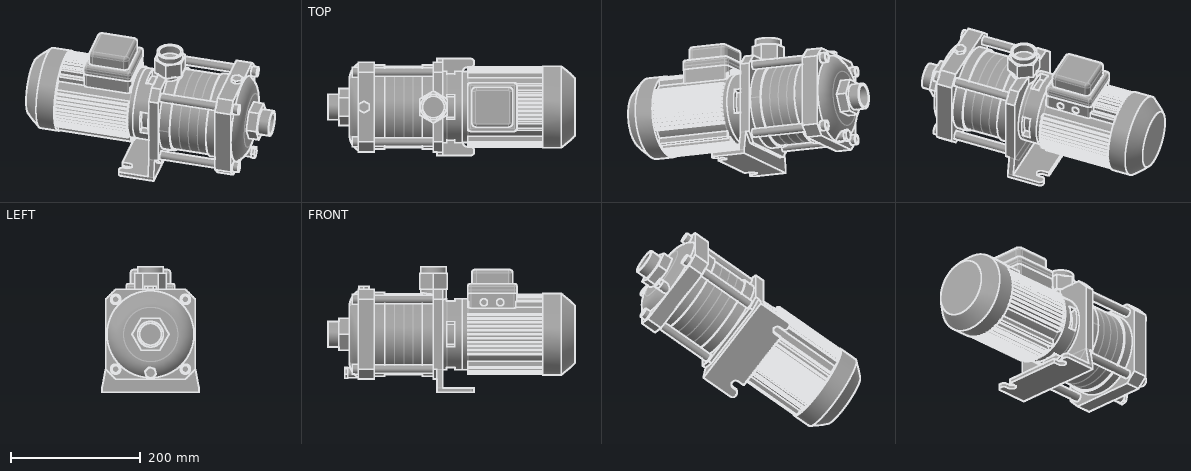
import cadquery as cq
import math


inlet_hex_start = 16.8
dome_face_x = 33.0
front_plate_x = 46.5
plug_head_x = 26.0
bolt_head_x = 37.5
front_plate_end = 71.7
stages_start = 87.8
stage_length = 14.5
stage_count = 4
stages_end = stages_start + stage_count * stage_length
rear_plate_x = 162.5
rear_plate_end = 177.5
window_start = 183.0
window_end = 196.0
motor_start = 207.5
fins_start = 215.5
cover_start = 331.5
cover_cone_start = 360.2
overall_length = 381.5

plate_width = 139.0
plate_chamfer = 15.5
dome_diameter = 134.5
dome_face_diameter = 84.0
dome_arc_radius = 30.0
end_ring_diameter = 130.0
stage_diameter = 125.0
lantern_diameter = 110.0
window_floor_diameter = 90.0
window_angle = 40.5
window_count = 4
plate_top = plate_width / 2

thread_diameter = 39.5
bore_diameter = 33.5
inlet_bore_depth = 18.7
outlet_bore_depth = 14.5
inlet_hex_flats = 49.5
outlet_hex_flats = 42.7
outlet_x = 163.0
outlet_hex_top = 94.0
outlet_top = 104.0

plug_flats = 15.5
plug_height = 5.0
vent_x = 55.7
drain_z = -59.5
drain_boss_diameter = 15.5
drain_turn = -15.0

bolt_offset = 53.8
bolt_diameter = 13.5
bolt_head_diameter = 15.5
bolt_socket_diameter = 11.0
bolt_socket_depth = 5.7

foot_x = 168.3
foot_end = 226.0
foot_width = 150.0
foot_bottom = -89.5
foot_thickness = 7.0
foot_top = foot_bottom + foot_thickness
foot_taper_top = -(plate_width / 2 - plate_chamfer)
foot_corner_radius = 5.7
slot_width = 13.5
slot_centre_x = 215.2
slot_centre_y = 54.5

fin_diameter = 123.5
fin_pitch = 6.0
fin_thickness = 2.0
upright_fins_per_side = 3
level_fins_per_side = 5
wide_fin_thickness = 3.5
wide_fin_offsets = (24.0, 34.5)
cover_diameter = 126.0
cover_end_diameter = 88.5
cover_bulge = 0.8

box_x = 215.5
box_length = 76.5
box_width = 75.5
box_corner = 4.5
box_base_inset = 0.5
box_base_top = 63.0
box_seam = 68.5
box_lid_top = 78.2
cap_length = 63.5
cap_width = 62.0
cap_corner = 7.0
cap_edge = 5.5
cap_top = 100.0
gland_diameter = 11.0
gland_xs = (240.8, 266.0)
gland_z = 49.2
gland_depth = 0.8


def cylinder_x(diameter, start, end):
    return cq.Workplane("YZ").workplane(offset=start).circle(diameter / 2).extrude(end - start)


def hexagon(plane, flats):
    return plane.polygon(6, flats / math.cos(math.radians(30)))


def block(x_range, y_range, z_range):
    (x0, x1), (y0, y1), (z0, z1) = x_range, y_range, z_range
    return cq.Workplane("XY").box(x1 - x0, y1 - y0, z1 - z0, centered=False).translate((x0, y0, z0))


def end_plate(start, end):
    plate = cq.Workplane("YZ").workplane(offset=start).rect(plate_width, plate_width).extrude(end - start)
    return plate.edges("|X").chamfer(plate_chamfer)


def dome():
    return (
        cq.Workplane("XY")
        .moveTo(dome_face_x, 0)
        .lineTo(dome_face_x, dome_face_diameter / 2)
        .radiusArc((front_plate_x, dome_diameter / 2), dome_arc_radius)
        .lineTo(front_plate_x, 0)
        .close()
        .revolve(360, (0, 0, 0), (1, 0, 0))
    )


def stage_stack():
    stack = cylinder_x(end_ring_diameter, front_plate_end, stages_start)
    for i in range(stage_count):
        start = stages_start + i * stage_length
        stage = cylinder_x(stage_diameter, start, start + stage_length)
        stack = stack.union(stage, clean=False)
    return stack.union(cylinder_x(end_ring_diameter, stages_end, rear_plate_x), clean=False)


def window_sector():
    reach = lantern_diameter
    half_width = reach * math.tan(math.radians(window_angle / 2))
    wedge = (
        cq.Workplane("YZ")
        .workplane(offset=window_start)
        .polyline([(0, 0), (reach, -half_width), (reach, half_width)])
        .close()
        .extrude(window_end - window_start)
    )
    return wedge.cut(cylinder_x(window_floor_diameter, window_start, window_end))


def lantern():
    body = cylinder_x(lantern_diameter, window_start, motor_start)
    for i in range(window_count):
        turn = i * 360 / window_count
        body = body.cut(window_sector().rotate((0, 0, 0), (1, 0, 0), turn))
    return body.union(cylinder_x(lantern_diameter, rear_plate_end, window_start), clean=False)


def outlet_boss():
    return cq.Workplane("XY").center(outlet_x, 0).circle(thread_diameter / 2).extrude(plate_top)


def drain_boss():
    return cylinder_x(drain_boss_diameter, plug_head_x + plug_height, front_plate_x).translate((0, 0, drain_z))


def foot_slot(side):
    round_end = (
        cq.Workplane("XY")
        .workplane(offset=foot_bottom)
        .center(slot_centre_x, side * slot_centre_y)
        .circle(slot_width / 2)
        .extrude(foot_thickness)
    )
    low = side * slot_centre_y - slot_width / 2
    mouth = block((slot_centre_x, foot_end), (low, low + slot_width), (foot_bottom, foot_top))
    return round_end.union(mouth)


def foot():
    top_half = plate_width / 2
    bottom_half = foot_width / 2
    upright = (
        cq.Workplane("YZ")
        .workplane(offset=foot_x)
        .polyline(
            [
                (-top_half, foot_taper_top),
                (-bottom_half, foot_top),
                (-bottom_half, foot_bottom),
                (bottom_half, foot_bottom),
                (bottom_half, foot_top),
                (top_half, foot_taper_top),
            ]
        )
        .close()
        .extrude(rear_plate_end - foot_x)
    )
    base = block((foot_x, foot_end), (-bottom_half, bottom_half), (foot_bottom, foot_top))
    for side in (-1, 1):
        base = base.cut(foot_slot(side))
    tab_inner = slot_centre_y + slot_width / 2
    for y in (-bottom_half, -tab_inner, tab_inner, bottom_half):
        base = base.edges(cq.NearestToPointSelector((foot_end, y, foot_bottom + foot_thickness / 2)))
        base = base.fillet(foot_corner_radius)
    return upright.union(base)


def bolt_positions():
    return [(y, z) for y in (-bolt_offset, bolt_offset) for z in (-bolt_offset, bolt_offset)]


def pump_body():
    body = end_plate(front_plate_x, front_plate_end)
    parts = [
        dome(),
        drain_boss(),
        stage_stack(),
        end_plate(rear_plate_x, rear_plate_end),
        lantern(),
        outlet_boss(),
        foot(),
    ]
    for part in parts:
        body = body.union(part, clean=False)
    bolt_holes = (
        cq.Workplane("YZ")
        .workplane(offset=front_plate_x)
        .pushPoints(bolt_positions())
        .circle(bolt_diameter / 2)
        .extrude(front_plate_end - front_plate_x)
    )
    return body.cut(bolt_holes, clean=False)


def finned_frame():
    half = fin_diameter / 2
    length = (fins_start, cover_start)
    level_offsets = [i * fin_pitch for i in range(-level_fins_per_side, level_fins_per_side + 1)]
    upright_offsets = [i * fin_pitch for i in range(-upright_fins_per_side, upright_fins_per_side + 1)]
    fins = [(offset, fin_thickness) for offset in upright_offsets]
    for offset in wide_fin_offsets:
        fins += [(-offset, wide_fin_thickness), (offset, wide_fin_thickness)]

    frame = cylinder_x(lantern_diameter, fins_start, cover_start)
    envelope = cylinder_x(fin_diameter, fins_start, cover_start)
    for y, thickness in fins:
        fin = block(length, (y - thickness / 2, y + thickness / 2), (-half, half))
        frame = frame.union(fin.intersect(envelope), clean=False)
    for z in level_offsets:
        fin = block(length, (-half, half), (z - fin_thickness / 2, z + fin_thickness / 2))
        frame = frame.union(fin.intersect(envelope), clean=False)
    return frame


def fan_cover():
    outer = cover_diameter / 2
    inner = cover_end_diameter / 2
    return (
        cq.Workplane("XY")
        .moveTo(cover_start, 0)
        .lineTo(cover_start, outer)
        .lineTo(cover_cone_start, outer)
        .sagittaArc((overall_length, inner), cover_bulge)
        .lineTo(overall_length, 0)
        .close()
        .revolve(360, (0, 0, 0), (1, 0, 0))
    )


def rounded_block(length, width, bottom, top, corner):
    centre_x = box_x + box_length / 2
    return (
        cq.Workplane("XY")
        .workplane(offset=bottom)
        .center(centre_x, 0)
        .rect(length, width)
        .extrude(top - bottom)
        .edges("|Z")
        .fillet(corner)
    )


def terminal_box():
    base_length = box_length - 2 * box_base_inset
    base_width = box_width - 2 * box_base_inset
    base = rounded_block(base_length, base_width, 0, box_base_top, box_corner)
    rim = rounded_block(box_length, box_width, box_base_top, box_seam, box_corner)
    lid = rounded_block(box_length, box_width, box_seam, box_lid_top, box_corner)
    lid = lid.faces(">Z").edges().fillet(box_corner - 0.5)
    cap = rounded_block(cap_length, cap_width, box_lid_top, cap_top, cap_corner)
    cap = cap.faces(">Z").edges().fillet(cap_edge)
    gland_recesses = (
        cq.Workplane("XZ")
        .workplane(offset=base_width / 2)
        .pushPoints([(x, gland_z) for x in gland_xs])
        .circle(gland_diameter / 2)
        .extrude(-gland_depth)
    )
    box = base
    for part in (rim, lid, cap):
        box = box.union(part, clean=False)
    return box.cut(gland_recesses, clean=False)


def motor_body():
    motor = cylinder_x(lantern_diameter, motor_start, fins_start)
    for part in (finned_frame(), fan_cover(), terminal_box()):
        motor = motor.union(part, clean=False)
    return motor


def nipple(hex_flats, hex_height, thread_height, bore_depth):
    """Upright nipple: hexagon standing on Z = 0 with a bored thread above it."""
    body = hexagon(cq.Workplane("XY"), hex_flats).extrude(hex_height)
    thread = cq.Workplane("XY").workplane(offset=hex_height).circle(thread_diameter / 2).extrude(thread_height)
    top = hex_height + thread_height
    bore = cq.Workplane("XY").workplane(offset=top).circle(bore_diameter / 2).extrude(-bore_depth)
    return body.union(thread).cut(bore)


def hex_plug():
    """Upright plug head standing on Z = 0, with two corners on the Y axis."""
    return hexagon(cq.Workplane("XY"), plug_flats).extrude(plug_height).rotate((0, 0, 0), (0, 0, 1), 90)


def facing_inlet(part):
    return part.rotate((0, 0, 0), (0, 1, 0), -90)


def tie_bolt(y, z):
    head = cylinder_x(bolt_head_diameter, bolt_head_x, front_plate_x)
    shank = cylinder_x(bolt_diameter, front_plate_x, rear_plate_x)
    socket = cylinder_x(bolt_socket_diameter, bolt_head_x, bolt_head_x + bolt_socket_depth)
    return head.union(shank).cut(socket).translate((0, y, z))


pump = pump_body()
motor = motor_body()

inlet_nipple = nipple(inlet_hex_flats, dome_face_x - inlet_hex_start, inlet_hex_start, inlet_bore_depth)
inlet_nipple = facing_inlet(inlet_nipple.rotate((0, 0, 0), (0, 0, 1), 90)).translate((dome_face_x, 0, 0))

outlet_nipple = nipple(outlet_hex_flats, outlet_hex_top - plate_top, outlet_top - outlet_hex_top, outlet_bore_depth)
outlet_nipple = outlet_nipple.rotate((0, 0, 0), (0, 0, 1), 90).translate((outlet_x, 0, plate_top))

vent_plug = hex_plug().translate((vent_x, 0, plate_top))
drain_plug = facing_inlet(hex_plug().rotate((0, 0, 0), (0, 0, 1), drain_turn))
drain_plug = drain_plug.translate((plug_head_x + plug_height, 0, drain_z))

tie_bolts = [tie_bolt(y, z) for y, z in bolt_positions()]

result = cq.Compound.makeCompound(
    [
        pump.val(),
        motor.val(),
        inlet_nipple.val(),
        outlet_nipple.val(),
        vent_plug.val(),
        drain_plug.val(),
        *[bolt.val() for bolt in tie_bolts],
    ]
)